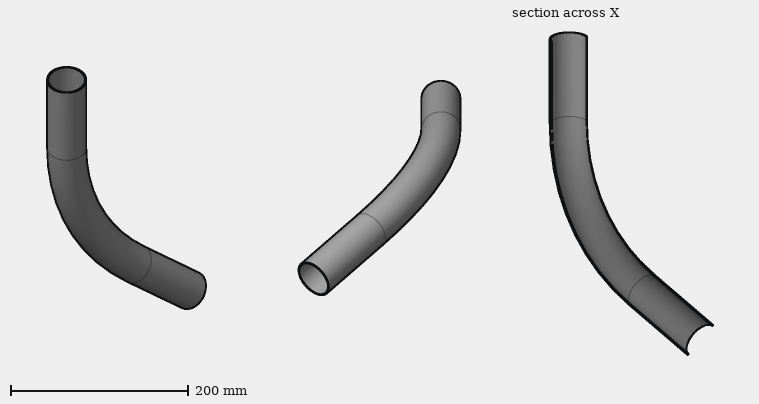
import cadquery as cq
import math

total_height = 404.5
outer_diameter = 44.5
inner_diameter = 41.3
straight_length = 101.0
bend_angle = 45.0

sine = math.sin(math.radians(bend_angle))
cosine = math.cos(math.radians(bend_angle))

lower_straight_height = straight_length * cosine
lower_rim_drop = outer_diameter / 2 * sine
bend_height = total_height - straight_length - lower_straight_height - lower_rim_drop
bend_radius = bend_height / sine


def bend_point(angle):
    """Point (y, z) on the bend centerline, turned from its upper end."""
    turn = math.radians(angle)
    y = bend_radius * (1 - math.cos(turn))
    z = -straight_length - bend_radius * math.sin(turn)
    return y, z


bend_end_y, bend_end_z = bend_point(bend_angle)
lower_end = (bend_end_y + straight_length * sine, bend_end_z - lower_straight_height)
centerline = (
    cq.Workplane("YZ")
    .moveTo(0, 0)
    .lineTo(0, -straight_length)
    .threePointArc(bend_point(bend_angle / 2), (bend_end_y, bend_end_z))
    .lineTo(*lower_end)
)

result = (
    cq.Workplane("XY")
    .circle(outer_diameter / 2)
    .circle(inner_diameter / 2)
    .sweep(centerline)
)